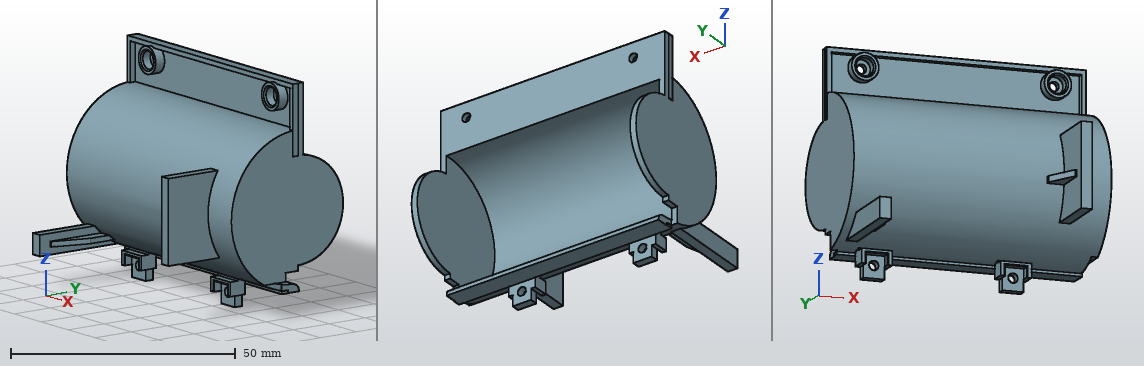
import cadquery as cq
import math


LENGTH = 61.4
HALF_LENGTH = LENGTH / 2
SHELL_RADIUS = 18.4
WALL = 1.35
CAVITY_RADIUS = SHELL_RADIUS - WALL
END_PLATE = 1.6
INNER_END = HALF_LENGTH - END_PLATE
BACK_RADIUS = 12.5
END_TAPER = 0.2

STEP_Z = -13.8
STEP_FRONT_Y = -3.4
RIGHT_PLATE_BOTTOM_Z = -15.85

TOP_Z = 29.0
FLANGE_THICKNESS = 1.5
RIM_HEIGHT = 1.5
RIM_WIDTH = 1.1

BOSS_XS = (-22.0, 23.65)
BOSS_Z = 25.0
BOSS_DIAMETER = 6.4
BOSS_HEIGHT = 2.45
SEAT_DIAMETER = 4.2
SEAT_MOUTH_DIAMETER = 4.9
SEAT_MOUTH_DEPTH = 0.35
SCREW_HOLE_DIAMETER = 2.2

LIP_BOTTOM_Z = -19.0
LIP_SHOULDER = (1.3, -17.95)
LIP_BACK_Y = 1.55
STRIP_TOP_Z = -18.3
LIP_HALF_LENGTH = INNER_END - 0.1
STRIP_BACK_Y = -1.6

BRACKET_XS = (-21.05, 11.9)
BRACKET_WIDTH = 7.25
BRACKET_FRONT_Y = -7.5
HOOD_TOP_Z = -18.1
BRACKET_ROOT_Z = -17.4
BRACKET_BOTTOM_Z = -21.45
TAB_WIDTH = 5.05
TAB_FRONT_Y = -5.45
TAB_BOTTOM_Z = -24.3
TAB_HOLE_Z = -21.3
POCKET_TOP_Z = -19.0
POCKET_LEDGE_WIDTH = 0.25
POCKET_LEDGE_DEPTH = 0.1

ARM_FRONT_Y = -29.4
ARM_ROOT_Y = -6.15
GUSSET_TIP_Y = -26.5
GUSSET_TIP_WIDTH = 0.35
TALL_ARM_X = (19.3, 21.85)
TALL_ARM_Z = (-10.3, 9.65)
TALL_GUSSET_FOOT = (15.3, -19.4)
TALL_GUSSET_Z = (-2.35, -0.85)
SHORT_ARM_X = (-28.45, -25.8)
SHORT_ARM_Z = (-16.75, -11.85)
SHORT_GUSSET_FOOT = (-22.9, -17.6)
SHORT_GUSSET_Z = (-14.9, -13.7)


def block(x_range, y_range, z_range):
    """Box between two limits on each axis, given in either order."""
    limits = (x_range, y_range, z_range)
    sizes = [abs(b - a) for a, b in limits]
    middle = tuple((a + b) / 2 for a, b in limits)
    return cq.Workplane("XY").box(*sizes).translate(middle)


def cylinder_along_x(radius, half_length):
    return cq.Workplane("YZ").circle(radius).extrude(half_length, both=True)


def cylinder_along_y(x, z, diameter, y_front, y_back):
    plane = cq.Workplane("XZ", origin=(x, y_front, z))
    return plane.circle(diameter / 2).extrude(y_front - y_back)


def make_shell():
    front_half = block((-HALF_LENGTH, HALF_LENGTH), (-SHELL_RADIUS, 0), (-SHELL_RADIUS, SHELL_RADIUS))
    return cylinder_along_x(SHELL_RADIUS, HALF_LENGTH).intersect(front_half)


def make_back_ends():
    """Half discs that close the two ends behind the axis, up to the flange."""
    back_half = block((-HALF_LENGTH, HALF_LENGTH), (0, BACK_RADIUS), (-BACK_RADIUS, BACK_RADIUS))
    between = block((-INNER_END, INNER_END), (0, BACK_RADIUS), (-BACK_RADIUS, BACK_RADIUS))
    return cylinder_along_x(BACK_RADIUS, HALF_LENGTH).intersect(back_half).cut(between)


def make_end_tapers():
    """Thin wedges that lean the end faces inwards from the back to the front."""
    wedges = cq.Workplane("XY")
    for side in (-1, 1):
        outline = [
            (side * HALF_LENGTH, BACK_RADIUS),
            (side * HALF_LENGTH, -SHELL_RADIUS),
            (side * (HALF_LENGTH - END_TAPER), -SHELL_RADIUS),
        ]
        wedge = cq.Workplane("XY").polyline(outline).close().extrude(TOP_Z, both=True)
        wedges = wedges.add(wedge)
    return wedges.combine()


def make_flange():
    foot_z = math.sqrt(BACK_RADIUS**2 - FLANGE_THICKNESS**2)
    plate = block((-HALF_LENGTH, HALF_LENGTH), (0, FLANGE_THICKNESS), (foot_z, TOP_Z))
    rim = block((-HALF_LENGTH, HALF_LENGTH), (-RIM_HEIGHT, 0), (foot_z, TOP_Z))
    inner_x = HALF_LENGTH - RIM_WIDTH
    recess = block((-inner_x, inner_x), (-RIM_HEIGHT, 0), (foot_z, TOP_Z - RIM_WIDTH))
    return plate, rim.cut(recess)


def make_boss(x):
    return cylinder_along_y(x, BOSS_Z, BOSS_DIAMETER, -BOSS_HEIGHT, 0)


def make_boss_hole(x):
    """Screw-head seat as deep as the boss, flared at its mouth, with a through hole in the flange."""
    seat = cylinder_along_y(x, BOSS_Z, SEAT_DIAMETER, -BOSS_HEIGHT, 0)
    mouth = (
        cq.Workplane("XZ", origin=(x, SEAT_MOUTH_DEPTH - BOSS_HEIGHT, BOSS_Z))
        .circle(SEAT_DIAMETER / 2)
        .workplane(offset=SEAT_MOUTH_DEPTH)
        .circle(SEAT_MOUTH_DIAMETER / 2)
        .loft()
    )
    screw_hole = cylinder_along_y(x, BOSS_Z, SCREW_HOLE_DIAMETER, -BOSS_HEIGHT, FLANGE_THICKNESS)
    return seat.union(mouth).union(screw_hole)


def make_lip():
    """Rounded tongue pointing backwards, carried on a flat strip below the shell."""
    tongue = (
        cq.Workplane("YZ")
        .moveTo(STRIP_BACK_Y, LIP_BOTTOM_Z)
        .lineTo(STRIP_BACK_Y, WALL / 2 - SHELL_RADIUS)
        .lineTo(0, -CAVITY_RADIUS)
        .threePointArc(LIP_SHOULDER, (LIP_BACK_Y, LIP_BOTTOM_Z))
        .close()
        .extrude(LIP_HALF_LENGTH, both=True)
    )
    strip = block((-INNER_END, INNER_END), (STEP_FRONT_Y, STRIP_BACK_Y), (LIP_BOTTOM_Z, STRIP_TOP_Z))
    return tongue.union(strip)


def make_bracket(x):
    """Drilled tab framed by a hood that is open at the front and below."""

    def centred_block(width, y_range, z_range):
        return block((x - width / 2, x + width / 2), y_range, z_range)

    tab_y = (TAB_FRONT_Y, STEP_FRONT_Y)
    ledge_y = BRACKET_FRONT_Y + POCKET_LEDGE_DEPTH
    mouth_width = TAB_WIDTH + 2 * POCKET_LEDGE_WIDTH
    mouth_top_z = POCKET_TOP_Z + POCKET_LEDGE_WIDTH

    hood = centred_block(BRACKET_WIDTH, (BRACKET_FRONT_Y, STEP_FRONT_Y), (BRACKET_BOTTOM_Z, HOOD_TOP_Z))
    root = centred_block(BRACKET_WIDTH, tab_y, (HOOD_TOP_Z, BRACKET_ROOT_Z))
    tab = centred_block(TAB_WIDTH, tab_y, (TAB_BOTTOM_Z, HOOD_TOP_Z))
    pocket = centred_block(TAB_WIDTH, (BRACKET_FRONT_Y, TAB_FRONT_Y), (BRACKET_BOTTOM_Z, POCKET_TOP_Z))
    mouth = centred_block(mouth_width, (BRACKET_FRONT_Y, ledge_y), (BRACKET_BOTTOM_Z, mouth_top_z))
    hole = cylinder_along_y(x, TAB_HOLE_Z, SCREW_HOLE_DIAMETER, BRACKET_FRONT_Y, STEP_FRONT_Y)
    return hood.union(root).union(tab).cut(pocket).cut(mouth).cut(hole)


def make_arm(x_range, z_range, gusset_side_x, gusset_foot, gusset_z):
    """Flat arm with a tapering gusset against the side at gusset_side_x."""
    arm = block(x_range, (ARM_FRONT_Y, ARM_ROOT_Y), z_range)
    foot_x, foot_y = gusset_foot
    tip_x = gusset_side_x + math.copysign(GUSSET_TIP_WIDTH, foot_x - gusset_side_x)
    gusset = (
        cq.Workplane("XY", origin=(0, 0, gusset_z[0]))
        .moveTo(gusset_side_x, ARM_ROOT_Y)
        .lineTo(foot_x, ARM_ROOT_Y)
        .lineTo(foot_x, foot_y)
        .lineTo(tip_x, GUSSET_TIP_Y)
        .lineTo(gusset_side_x, GUSSET_TIP_Y)
        .close()
        .extrude(gusset_z[1] - gusset_z[0])
    )
    return arm.union(gusset)


flange_plate, flange_rim = make_flange()
body = make_shell().union(make_back_ends()).union(flange_plate).cut(make_end_tapers())
body = body.union(flange_rim)
body = body.union(make_arm(TALL_ARM_X, TALL_ARM_Z, TALL_ARM_X[0], TALL_GUSSET_FOOT, TALL_GUSSET_Z))
body = body.union(make_arm(SHORT_ARM_X, SHORT_ARM_Z, SHORT_ARM_X[1], SHORT_GUSSET_FOOT, SHORT_GUSSET_Z))

body = body.cut(cylinder_along_x(CAVITY_RADIUS, INNER_END))

for side in (-1, 1):
    end_range = (side * LIP_HALF_LENGTH, side * HALF_LENGTH)
    body = body.cut(block(end_range, (STEP_FRONT_Y, 0), (-SHELL_RADIUS, STEP_Z)))
body = body.cut(block((INNER_END, HALF_LENGTH), (-SHELL_RADIUS, 0), (-SHELL_RADIUS, RIGHT_PLATE_BOTTOM_Z)))

body = body.union(make_lip())
for bracket_x in BRACKET_XS:
    body = body.union(make_bracket(bracket_x))
for boss_x in BOSS_XS:
    body = body.union(make_boss(boss_x)).cut(make_boss_hole(boss_x))

result = body